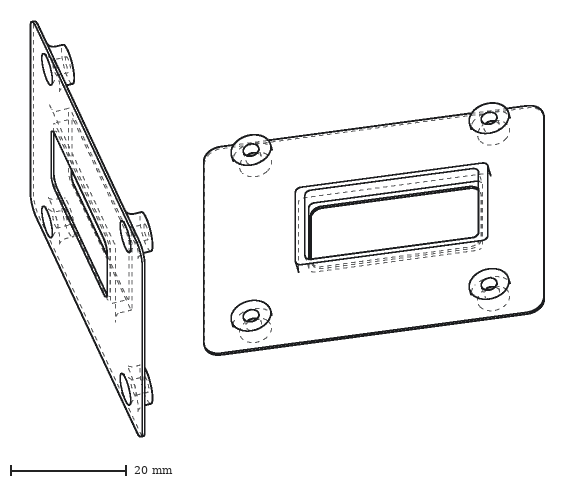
import cadquery as cq
import math

plate_length = 60.0
plate_height = 48.0
plate_thickness = 0.5
plate_corner_radius = 3.0

window_length = 30.0
window_height = 14.0
window_corner_radius = 2.0
window_center_x = -3.85
collar_length = 33.95
collar_height = 18.0
collar_top = 3.85
collar_corner_radius = 1.0
collar_fillet = 1.0

lip_x = 0.3
lip_z = 1.0
cavity_corner_radius = 1.0

screw_x = 21.0
screw_z = 19.25
boss_diameter = 7.0
boss_top = 3.8
boss_fillet = 2.0
hole_radius = 1.4
sink_radius = 2.8
sink_angle = 90.0

edge_margin = 0.05


def rounded_block(length, height, depth, radius, center_x=0.0):
    """Block with rounded corners in XZ, reaching from Y = 0 to Y = depth."""
    block = cq.Workplane("XZ").center(center_x, 0).rect(length, height).extrude(-depth)
    return block.edges("|Y").fillet(radius)


def add_collar(body):
    """Rectangular collar with a filleted foot and rounded, mitred corners."""
    wall = (
        cq.Workplane("XZ")
        .center(window_center_x, 0)
        .rect(collar_length, collar_height)
        .extrude(-collar_top)
    )
    half_length = collar_length / 2 + edge_margin
    half_height = collar_height / 2 + edge_margin
    foot = cq.selectors.BoxSelector(
        (window_center_x - half_length, plate_thickness - edge_margin, -half_height),
        (window_center_x + half_length, plate_thickness + edge_margin, half_height),
    )
    body = body.union(wall).edges(foot).fillet(collar_fillet)
    corners = cq.selectors.BoxSelector(
        (window_center_x - half_length, plate_thickness + collar_fillet, -half_height),
        (window_center_x + half_length, collar_top - edge_margin, half_height),
    )
    return body.edges("|Y").edges(corners).fillet(collar_corner_radius)


def make_cavity():
    """Wider opening inside the collar, leaving the plate as a lip around the window."""
    cavity = rounded_block(
        window_length + 2 * lip_x,
        window_height + 2 * lip_z,
        collar_top - plate_thickness,
        cavity_corner_radius,
        window_center_x,
    )
    return cavity.translate((0, plate_thickness, 0))


def revolve_at(profile, x, z):
    """Solid of revolution about the Y direction, placed at a screw position."""
    return profile.close().revolve(360, (0, 0, 0), (0, 1, 0)).translate((x, 0, z))


def add_boss(body, x, z):
    """Round boss whose foot is filleted into the plate."""
    boss = cq.Workplane("XZ").center(x, z).circle(boss_diameter / 2).extrude(-boss_top)
    reach = boss_diameter / 2 + edge_margin
    foot = cq.selectors.BoxSelector(
        (x - reach, plate_thickness - edge_margin, z - reach),
        (x + reach, plate_thickness + edge_margin, z + reach),
        boundingbox=True,
    )
    return body.union(boss).edges(foot).fillet(boss_fillet)


def make_screw_hole(x, z):
    """Through hole with a conical countersink on the front face."""
    sink_depth = (sink_radius - hole_radius) / math.tan(math.radians(sink_angle / 2))
    profile = (
        cq.Workplane("XY")
        .lineTo(sink_radius, 0)
        .lineTo(hole_radius, sink_depth)
        .lineTo(hole_radius, boss_top)
        .lineTo(0, boss_top)
    )
    return revolve_at(profile, x, z)


screw_positions = [(x, z) for x in (-screw_x, screw_x) for z in (-screw_z, screw_z)]

result = rounded_block(plate_length, plate_height, plate_thickness, plate_corner_radius)
result = add_collar(result)
for x, z in screw_positions:
    result = add_boss(result, x, z)

result = result.cut(
    rounded_block(window_length, window_height, collar_top, window_corner_radius, window_center_x)
)
result = result.cut(make_cavity())
for x, z in screw_positions:
    result = result.cut(make_screw_hole(x, z))